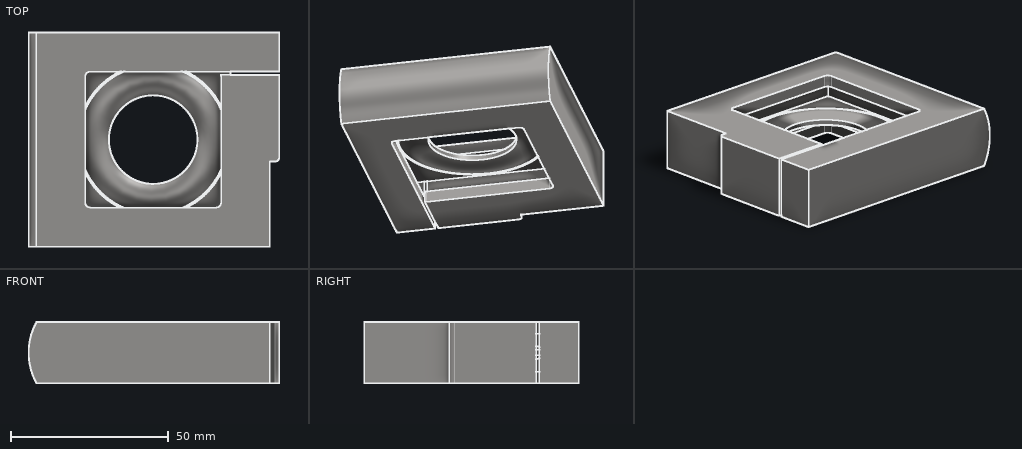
import cadquery as cq
import math

frame_half_depth = 34.0
frame_height = 19.5
half_height = frame_height / 2
right_end = 40.0
step_right = 37.0
step_y = -7.0
step_fillet = 1.5
nose_radius = 20.0
nose_tip = -39.5
nose_sagitta = nose_radius - math.sqrt(nose_radius**2 - half_height**2)
nose_shoulder = nose_tip + nose_sagitta

window_half = 21.5
window_fillet = 1.5
groove_depth = 3.0
groove_half = window_half + groove_depth
groove_height = 12.0
slot_width = 1.0

plate_half = groove_half
plate_thickness = 1.7

bore_radius = 14.0
ring_radius = 24.0
rim_width = 0.5
crown_radius = ring_radius - rim_width
ring_edge_half = plate_thickness / 2
crown_rise = 1.4
crown_height = ring_edge_half + crown_rise


def square_prism(half_side, height):
    """Square block centred on the origin."""
    return cq.Workplane("XY").box(2 * half_side, 2 * half_side, height)


def make_frame():
    body = (
        cq.Workplane("XZ")
        .moveTo(nose_shoulder, -half_height)
        .lineTo(right_end, -half_height)
        .lineTo(right_end, half_height)
        .lineTo(nose_shoulder, half_height)
        .threePointArc((nose_tip, 0), (nose_shoulder, -half_height))
        .close()
        .extrude(frame_half_depth, both=True)
    )

    step = cq.Workplane("XY").box(
        right_end - step_right,
        frame_half_depth + step_y,
        frame_height,
        centered=(False, False, True),
    ).translate((step_right, -frame_half_depth, 0))
    body = body.cut(step)
    step_corner = cq.selectors.NearestToPointSelector((right_end, step_y, 0))
    body = body.edges("|Z").edges(step_corner).fillet(step_fillet)

    window = square_prism(window_half, frame_height).edges("|Z").fillet(window_fillet)
    groove = square_prism(groove_half, groove_height)

    slot = cq.Workplane("XY").box(
        right_end,
        slot_width,
        frame_height,
        centered=(False, False, True),
    ).translate((0, window_half - slot_width, 0))

    return body.cut(window).cut(groove).cut(slot)


def make_plate():
    ring_seat = cq.Workplane("XY").circle(ring_radius).extrude(plate_thickness, both=True)
    return square_prism(plate_half, plate_thickness).cut(ring_seat)


def make_ring():
    crown_middle = (bore_radius + crown_radius) / 2
    return (
        cq.Workplane("XZ")
        .moveTo(bore_radius, -ring_edge_half)
        .lineTo(bore_radius, ring_edge_half)
        .threePointArc((crown_middle, crown_height), (crown_radius, ring_edge_half))
        .lineTo(ring_radius, ring_edge_half)
        .lineTo(ring_radius, -ring_edge_half)
        .lineTo(crown_radius, -ring_edge_half)
        .threePointArc((crown_middle, -crown_height), (bore_radius, -ring_edge_half))
        .close()
        .revolve(360, (0, 0), (0, 1))
    )


frame = make_frame()
plate = make_plate()
ring = make_ring()

result = cq.Compound.makeCompound([frame.val(), plate.val(), ring.val()])